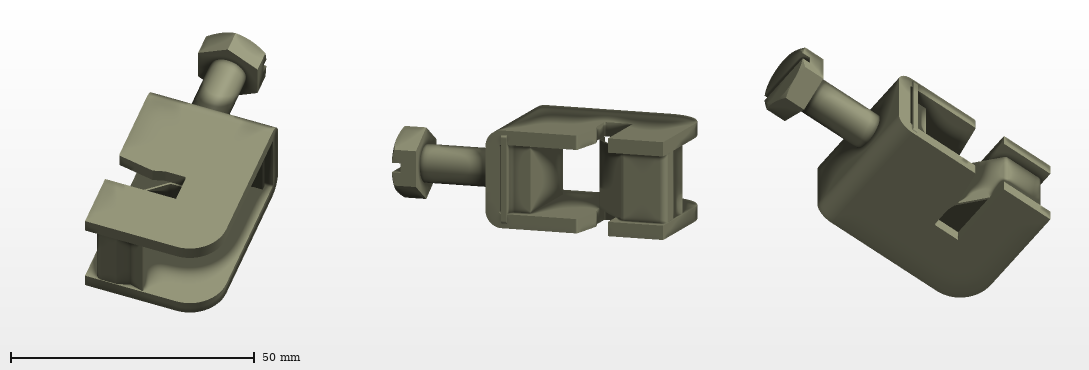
import cadquery as cq
import math


bracket_height = 20.5
bracket_right = 28.0
bracket_back = 38.8
strap_thickness = 3.0
bend_inner_radius = 0.5
bend_outer_radius = bend_inner_radius + strap_thickness
upper_jaw_left = 0.5
upper_jaw_tip_y = 18.9
upper_jaw_tip_radius = 0.4
upper_jaw_crest = (8.4, 17.45)
mouth_start_x = 11.0
mouth_right = 15.5
mouth_top = 18.15
mouth_bottom = 12.0
mouth_corner_radius = 0.4
heel_radius = 8.0
gap_height = bracket_height - 2 * strap_thickness
wall_inner_y = bracket_back - strap_thickness

plate_left = 0.15
plate_length = 26.2
plate_height = 18.6
plate_thickness = 1.15
plate_corner_radius = 0.6
plate_back = 35.3
plate_front = plate_back - plate_thickness
plate_center_x = plate_left + plate_length / 2
block_length = 20.6
block_front = 29.9
block_fillet = 0.8

screw_x = 11.0
shank_diameter = 8.0
collar_diameter = 10.8
head_across_flats = 13.0
head_across_corners = head_across_flats / math.cos(math.pi / 6)
head_seat = 55.3
head_top = 60.6
head_height = head_top - head_seat
head_chamfer_angle = math.radians(30)
head_face_diameter = 12.9
driver_slot_width = 2.0
driver_slot_depth = 1.9

sheet_thickness = 0.4
spring_left = 2.2
spring_foot_y = 0.15
spring_foot_radius = 1.3
spring_shoulder_radius = 1.0
spring_shoulder_y = 9.75
spring_tip_x = 14.7
spring_tip_bend_x = 12.1
spring_tip_bend_radius = 1.8
spring_notch_start = 6.85
spring_notch_peak = (9.7, 1.0)
spring_end_x = 12.5


def centered_prism(profile, height):
    """Extrude an XY profile by equal amounts above and below Z = 0."""
    return profile.extrude(height / 2, both=True)


def fillet_upright_edge(body, point, radius):
    """Round the vertical edge that passes through an XY point."""
    return body.edges(cq.NearestToPointSelector((*point, 0))).fillet(radius)


def make_bracket():
    """Cut the C-shaped outline out of a strap bent into a U."""
    strap = (
        cq.Workplane("XY")
        .box(bracket_right, bracket_back, bracket_height, centered=(False, False, True))
        .edges("|X and >Y")
        .fillet(bend_outer_radius)
    )
    inside = (
        cq.Workplane("XY")
        .box(bracket_right, wall_inner_y, gap_height, centered=(False, False, True))
        .edges("|X and >Y")
        .fillet(bend_inner_radius)
    )
    outline = (
        cq.Workplane("XY")
        .moveTo(0, 0)
        .lineTo(bracket_right - heel_radius, 0)
        .radiusArc((bracket_right, heel_radius), -heel_radius)
        .lineTo(bracket_right, bracket_back)
        .lineTo(upper_jaw_left, bracket_back)
        .lineTo(upper_jaw_left, upper_jaw_tip_y)
        .lineTo(*upper_jaw_crest)
        .lineTo(mouth_start_x, mouth_top)
        .lineTo(mouth_right, mouth_top)
        .lineTo(mouth_right, mouth_bottom)
        .lineTo(0, mouth_bottom)
        .close()
    )
    cheeks = centered_prism(outline, bracket_height)
    cheeks = fillet_upright_edge(cheeks, (upper_jaw_left, upper_jaw_tip_y), upper_jaw_tip_radius)
    cheeks = fillet_upright_edge(cheeks, (mouth_right, mouth_top), mouth_corner_radius)
    return strap.cut(inside).intersect(cheeks)


def make_pressure_plate():
    """Rounded plate held in the cheeks, with the pressure block on its front."""
    plate = (
        cq.Workplane("XY")
        .box(plate_length, plate_thickness, plate_height)
        .edges("|Y")
        .fillet(plate_corner_radius)
        .translate((plate_center_x, plate_front + plate_thickness / 2, 0))
    )
    block_left = plate_center_x - block_length / 2
    block_right = plate_center_x + block_length / 2
    block_outline = (
        cq.Workplane("XY")
        .moveTo(block_left, block_front)
        .lineTo(block_right, block_front)
        .lineTo(block_right, plate_front - block_fillet)
        .radiusArc((block_right + block_fillet, plate_front), block_fillet)
        .lineTo(block_left - block_fillet, plate_front)
        .radiusArc((block_left, plate_front - block_fillet), block_fillet)
        .close()
    )
    return plate.union(centered_prism(block_outline, gap_height))


def screw_cylinder(diameter, start_y, end_y):
    """Cylinder on the screw axis between two Y positions."""
    return (
        cq.Workplane("XZ", origin=(screw_x, start_y, 0))
        .circle(diameter / 2)
        .extrude(start_y - end_y)
    )


def make_screw():
    """Slotted hexagon screw with a collar that bears on the pressure plate."""
    head = (
        cq.Workplane("XZ", origin=(screw_x, head_seat, 0))
        .transformed(rotate=(0, 0, 90))
        .polygon(6, head_across_corners)
        .extrude(-head_height)
    )
    corner_radius = head_across_corners / 2
    face_radius = head_face_diameter / 2
    chamfer_drop = (corner_radius - face_radius) * math.tan(head_chamfer_angle)
    chamfer_envelope = (
        cq.Workplane("XY", origin=(screw_x, 0, 0))
        .moveTo(0, head_seat)
        .lineTo(corner_radius, head_seat)
        .lineTo(corner_radius, head_top - chamfer_drop)
        .lineTo(face_radius, head_top)
        .lineTo(0, head_top)
        .close()
        .revolve(360, (0, 0, 0), (0, 1, 0))
    )
    driver_slot = (
        cq.Workplane("XY")
        .box(head_across_corners, 2 * driver_slot_depth, driver_slot_width)
        .translate((screw_x, head_top, 0))
    )
    shank = screw_cylinder(shank_diameter, plate_back, head_seat)
    collar = screw_cylinder(collar_diameter, plate_back, wall_inner_y)
    return head.intersect(chamfer_envelope).cut(driver_slot).union(shank).union(collar)


def offset_path(points, distance):
    """Shift an open polyline to its left by a distance, with mitred corners."""
    angles = [
        math.atan2(end[1] - start[1], end[0] - start[0])
        for start, end in zip(points, points[1:])
    ]
    before = [angles[0]] + angles
    after = angles + [angles[-1]]
    shifted = []
    for (x, y), angle_in, angle_out in zip(points, before, after):
        half_turn = math.remainder(angle_out - angle_in, 2 * math.pi) / 2
        direction = angle_in + half_turn
        reach = distance / math.cos(half_turn)
        shifted.append((x - reach * math.sin(direction), y + reach * math.cos(direction)))
    return shifted


def make_spring():
    """Sheet spring: foot with a V notch, upright side, sloping leaf and flat tip."""
    tip_bend = (spring_tip_bend_x, mouth_top)
    shoulder = (spring_left, spring_shoulder_y)
    foot = (spring_left, spring_foot_y)
    outer = [
        (spring_tip_x, mouth_top),
        tip_bend,
        shoulder,
        foot,
        (spring_notch_start, spring_foot_y),
        spring_notch_peak,
        (spring_end_x, spring_foot_y),
    ]
    inner = offset_path(outer, sheet_thickness)
    spring = centered_prism(cq.Workplane("XY").polyline(outer + inner[::-1]).close(), gap_height)
    bends = (
        (tip_bend, spring_tip_bend_radius),
        (shoulder, spring_shoulder_radius),
        (foot, spring_foot_radius),
    )
    for corner, radius in bends:
        index = outer.index(corner)
        spring = fillet_upright_edge(spring, outer[index], radius)
        spring = fillet_upright_edge(spring, inner[index], radius - sheet_thickness)
    return spring


result = make_bracket().union(make_pressure_plate()).union(make_screw()).union(make_spring())